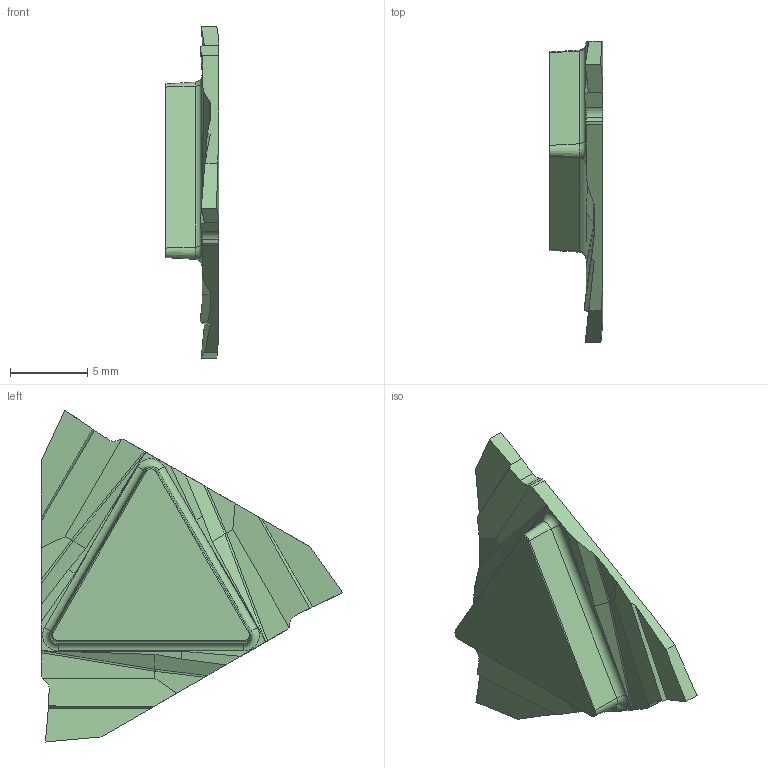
import cadquery as cq
import math


BLADES = 3
BLADE_ANGLE = 360 / BLADES
TOTAL_HEIGHT = 3.5
PLATE_THICKNESS = 1.10
PAD_THICKNESS = 1.40
PAD_TOP_EDGE = -6.5
EDGE_INRADIUS = 7.108

NOTCH_START = (-EDGE_INRADIUS, -6.09)
NOTCH_CORNER = (-7.06, -6.26)
NOTCH_ARC_START = (-6.84, -6.45)
NOTCH_ARC_MIDDLE = (-6.66, -6.68)
NOTCH_ARC_END = (-6.60, -7.02)
BLADE_BEND = (-6.66, -8.24)
BLADE_TIP = (-6.84, -10.405)
BLADE_HEEL_X = -3.24

BOSS_INRADIUS = 3.89
BOSS_CORNER_RADIUS = 0.41
BOSS_DRAFT = 3.5
BOSS_TOP_RADIUS = 0.06
BOSS_FOOT_RADIUS = 0.48

GROOVE_LOW_X = 0.26
GROOVE_LOW_Y = -5.75
GROOVE_LOW_Z = 0.56
GROOVE_LOW_POINT = (GROOVE_LOW_X, GROOVE_LOW_Y, GROOVE_LOW_Z)
LEVEL = (0, 0)
LAND_SLOPE = (-0.070, 0)
LONG_WALL_SLOPE = (0.012, 0.50)
SHORT_WALL_SLOPE = (0.060, 0.50)
GROOVE_BOTTOM_RADIUS = 0.3
RIM_POINT = (2.0, -4.52, PLATE_THICKNESS)
RIM_LONG_SLOPE = (0, 0.14)
RIM_SHORT_SLOPE = (0.012, 0.14)

FACE_START_Y = -6.28
FACE_SLOPE = (LAND_SLOPE[0], -0.10)
STEP_POINT = (*BLADE_BEND, 0.945)
STEP_SLOPE = (-0.057, 1.6)
TIP_SLOPE = (-0.057, -0.090)
RELIEF_START_Y = -8.85
RELIEF_SLOPE = 0.09

CUTTER_SIZE = 60.0
TOLERANCE = 1e-3


def around(shape, blade):
    """Turn a shape from the bottom blade to another blade."""
    return shape.rotate((0, 0, 0), (0, 0, 1), blade * BLADE_ANGLE)


def turned(point, blade):
    """Turn a point from the bottom blade to another blade."""
    angle = math.radians(blade * BLADE_ANGLE)
    x, y = point
    return (x * math.cos(angle) - y * math.sin(angle), x * math.sin(angle) + y * math.cos(angle))


def space_above(point, slope):
    """A large block resting on the sloped plane through a point."""
    plane = cq.Plane(origin=point, normal=(-slope[0], -slope[1], 1))
    return cq.Workplane(plane).rect(CUTTER_SIZE, CUTTER_SIZE).extrude(CUTTER_SIZE)


def blade_heel():
    """Corner where the blade end meets the long side of the plate."""
    side_angle = math.radians(BLADE_ANGLE) - math.pi / 2
    y = (BLADE_HEEL_X * math.sin(side_angle) - EDGE_INRADIUS) / math.cos(side_angle)
    return (BLADE_HEEL_X, y)


def plate_outline():
    """Closed outline of the plate with its three blades."""
    outline = cq.Workplane("XY").moveTo(*NOTCH_START)
    for blade in range(BLADES):
        outline = outline.lineTo(*turned(NOTCH_CORNER, blade))
        outline = outline.lineTo(*turned(NOTCH_ARC_START, blade))
        outline = outline.threePointArc(turned(NOTCH_ARC_MIDDLE, blade), turned(NOTCH_ARC_END, blade))
        outline = outline.lineTo(*turned(BLADE_BEND, blade))
        outline = outline.lineTo(*turned(BLADE_TIP, blade))
        outline = outline.lineTo(*turned(blade_heel(), blade))
        if blade < BLADES - 1:
            outline = outline.lineTo(*turned(NOTCH_START, blade + 1))
    return outline.close()


def blank():
    """Plate with thicker stock left on the three blades."""
    plate = plate_outline().extrude(PLATE_THICKNESS)
    stock = plate_outline().extrude(PAD_THICKNESS)
    pad_area = (
        cq.Workplane("XY")
        .center(0, PAD_TOP_EDGE - CUTTER_SIZE / 2)
        .rect(CUTTER_SIZE, CUTTER_SIZE)
        .extrude(PAD_THICKNESS)
    )
    for blade in range(BLADES):
        plate = plate.union(stock.intersect(around(pad_area, blade)))
    return plate


def groove_floor_space():
    """Open space above the groove floor, the land and the upper blade face."""
    face_point = (GROOVE_LOW_X, FACE_START_Y, GROOVE_LOW_Z)
    return (
        space_above(GROOVE_LOW_POINT, LEVEL)
        .intersect(space_above(GROOVE_LOW_POINT, LAND_SLOPE))
        .intersect(space_above(face_point, FACE_SLOPE))
    )


def wall_cutter():
    """Groove space in front of its two steep walls."""
    long_wall = space_above(GROOVE_LOW_POINT, LONG_WALL_SLOPE)
    short_wall = space_above(GROOVE_LOW_POINT, SHORT_WALL_SLOPE)
    return groove_floor_space().intersect(long_wall).intersect(short_wall)


def rim_cutter():
    """Groove space above the shallow facets that ease the walls into the plate top."""
    long_facet = space_above(RIM_POINT, RIM_LONG_SLOPE)
    short_facet = space_above(RIM_POINT, RIM_SHORT_SLOPE)
    return groove_floor_space().intersect(long_facet).intersect(short_facet)


def tip_cutter():
    """Open space above the step and the blade tip."""
    return space_above(STEP_POINT, STEP_SLOPE).intersect(space_above(STEP_POINT, TIP_SLOPE))


def relief_cutter():
    """Wedge under the blade end."""
    plane = cq.Plane(origin=(0, RELIEF_START_Y, 0), normal=(0, -RELIEF_SLOPE, -1))
    return cq.Workplane(plane).rect(CUTTER_SIZE, CUTTER_SIZE).extrude(CUTTER_SIZE)


def boss():
    """Drafted triangle with rounded corners and a softened top edge."""
    top_outline = (
        cq.Sketch()
        .regularPolygon(2 * BOSS_INRADIUS, BLADES)
        .vertices()
        .fillet(BOSS_CORNER_RADIUS)
    )
    body = (
        cq.Workplane("XY", origin=(0, 0, TOTAL_HEIGHT))
        .placeSketch(top_outline)
        .extrude(-TOTAL_HEIGHT, taper=-BOSS_DRAFT)
    )
    return body.faces(">Z").edges().fillet(BOSS_TOP_RADIUS)


def groove_bottom_edges(shape):
    """The two edges per blade where the groove walls meet the land and the floor."""
    found = []
    for edge in shape.edges().vals():
        near, far = edge.startPoint(), edge.endPoint()
        for blade in range(BLADES):
            low_x, low_y = turned((GROOVE_LOW_X, GROOVE_LOW_Y), blade)
            low_point = cq.Vector(low_x, low_y, GROOVE_LOW_Z)
            reaches_low_point = min((near - low_point).Length, (far - low_point).Length) < TOLERANCE
            run = far - near
            run_across, _ = turned((run.x, run.y), -blade)
            if reaches_low_point and abs(run_across) > TOLERANCE:
                found.append(edge)
    return shape.newObject(found)


def boss_foot_edges(shape):
    """The closed outline where the boss stands on the plate."""
    drop = TOTAL_HEIGHT - PLATE_THICKNESS
    foot_inradius = BOSS_INRADIUS + drop * math.tan(math.radians(BOSS_DRAFT))
    found = []
    for edge in shape.edges().vals():
        points = [edge.startPoint(), edge.positionAt(0.5), edge.endPoint()]
        on_plate = all(abs(point.z - PLATE_THICKNESS) < TOLERANCE for point in points)
        reach = max(
            -turned((point.x, point.y), blade)[1] for point in points for blade in range(BLADES)
        )
        if on_plate and reach < foot_inradius + TOLERANCE:
            found.append(edge)
    return shape.newObject(found)


def build():
    """Cut the blades, add the boss and stand the insert up."""
    insert = blank()
    for blade in range(BLADES):
        for cutter in (wall_cutter(), rim_cutter(), tip_cutter(), relief_cutter()):
            insert = insert.cut(around(cutter, blade))
    insert = groove_bottom_edges(insert).fillet(GROOVE_BOTTOM_RADIUS)
    insert = insert.union(boss())
    insert = boss_foot_edges(insert).fillet(BOSS_FOOT_RADIUS)
    stand = cq.Plane(origin=(0, 0, 0), xDir=(0, -1, 0), normal=(-1, 0, 0))
    return insert.val().moved(cq.Location(stand))


result = cq.Workplane(obj=build())